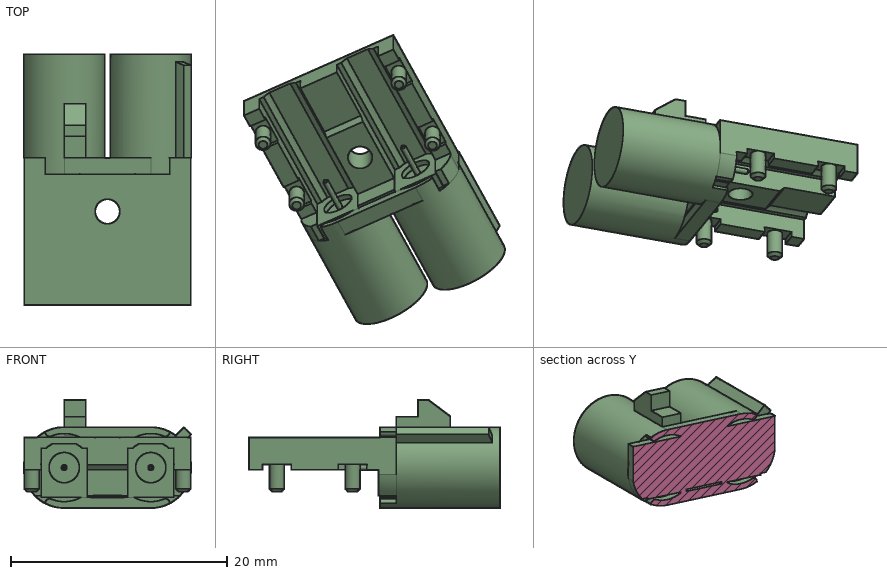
import cadquery as cq
import math


TUBE_DIA = 7.5
TUBE_RADIUS = TUBE_DIA / 2
TUBE_LENGTH = 9.6
TUBE_PITCH = 8.0
TUBE_XS = (-TUBE_PITCH / 2, TUBE_PITCH / 2)

BODY_WIDTH = 15.4
BODY_LENGTH = 13.6
BODY_TOP = 2.8
BODY_BOTTOM = -0.2
MOUNT_HOLE_DIA = 2.25
MOUNT_HOLE_Y = -4.95

BLOCK_LENGTH = 1.65
BLOCK_BOTTOM = -2.6

TAB_LENGTH = 1.5
TAB_INNER_DIA = 6.3
TAB_HALF_WIDTH = 5.75
TAB_INNER_HEIGHT = 2.75
TAB_CORNER_RADIUS = 0.4

CHANNEL_WIDTH = 4.25
CHANNEL_SHOULDER = 1.8
CHANNEL_TOP = 2.2
CHANNEL_ARCH_RADIUS = 2.45

RIB_FRONT_BOTTOM = 0.25
RIB_RELIEF_LENGTH = 5.0

INSULATOR_LENGTH = TAB_LENGTH
INSULATOR_BOTTOM = -TAB_INNER_HEIGHT
SOCKET_DIA = 2.8
SOCKET_DEPTH = 0.5
CONTACT_DIA = 0.51
CONTACT_END_Y = -4.2
CONTACT_CHAMFER = 0.15

PEG_DIA = 1.4
PEG_END_Z = -2.25
PEG_CHAMFER = 0.3
PEG_X = 7.0
PEG_YS = (-4.02, -11.02)
PEG_RELIEF_WIDTH = 2.65
PEG_RELIEF_TOP = 0.3

LATCH_LEFT = TUBE_XS[0]
LATCH_WIDTH = 2.0
LATCH_LENGTH = 5.0
LATCH_STEP_Y = 2.0
LATCH_CREST_LENGTH = 1.0
LATCH_STEP_Z = 4.7
LATCH_NOSE_Z = 4.75
LATCH_TOP = 6.25
LATCH_ROOT_Z = 3.0

KEY_ANGLE = 45.0
KEY_WIDTH = 0.95
KEY_OUTER_RADIUS = 4.8
KEY_ROOT_RADIUS = 3.0
KEY_OUTER_LENGTH = 8.55
KEY_END_SLOPE = 0.31


def block(x_min, x_max, y_min, y_max, z_min, z_max):
    """Axis-aligned box given by its limits."""
    size = (x_max - x_min, y_max - y_min, z_max - z_min)
    return cq.Workplane("XY").box(*size, centered=False).translate((x_min, y_min, z_min))


def rod_y(diameter, x, y_min, y_max):
    """Cylinder along Y at the height of the tube axes."""
    profile = cq.Workplane("XZ", origin=(x, y_max, 0)).circle(diameter / 2)
    return profile.extrude(y_max - y_min)


def make_body():
    """Plate with a deeper block at its rear end, rounded to follow the tubes."""
    half_width = BODY_WIDTH / 2
    plate = block(-half_width, half_width, -BODY_LENGTH, 0, BODY_BOTTOM, BODY_TOP)
    limits = block(-half_width, half_width, -BLOCK_LENGTH, 0, BLOCK_BOTTOM, BODY_TOP)
    stadium = cq.Workplane("XZ").slot2D(TUBE_PITCH + TUBE_DIA, TUBE_DIA).extrude(BLOCK_LENGTH)
    return plate.union(stadium.intersect(limits))


def channel_prism(x, y_min, y_max, z_min):
    """Channel cross-section, with a flattened arch as its roof, run along Y."""
    left = x - CHANNEL_WIDTH / 2
    right = x + CHANNEL_WIDTH / 2
    shaft = block(left, right, y_min, y_max, z_min, CHANNEL_SHOULDER)
    roof = block(left, right, y_min, y_max, 0, CHANNEL_TOP)
    return shaft.union(rod_y(2 * CHANNEL_ARCH_RADIUS, x, y_min, y_max).intersect(roof))


def make_rib_relief():
    """Shallow cut under the front of the middle rib, ending in a 45 degree ramp."""
    half_width = TUBE_XS[1] - CHANNEL_WIDTH / 2
    rise = RIB_FRONT_BOTTOM - BODY_BOTTOM
    ramp_top_y = RIB_RELIEF_LENGTH - BODY_LENGTH
    profile = [
        (-BODY_LENGTH, BODY_BOTTOM),
        (-BODY_LENGTH, RIB_FRONT_BOTTOM),
        (ramp_top_y, RIB_FRONT_BOTTOM),
        (ramp_top_y + rise, BODY_BOTTOM),
    ]
    return cq.Workplane("YZ").polyline(profile).close().extrude(half_width, both=True)


def make_insulator(x):
    """Plug filling the end of a channel, its round socket and the contact standing in it."""
    front_y = -INSULATOR_LENGTH
    plug = channel_prism(x, front_y, 0, INSULATOR_BOTTOM)
    socket = rod_y(SOCKET_DIA, x, front_y, front_y + SOCKET_DEPTH)
    contact = rod_y(CONTACT_DIA, x, CONTACT_END_Y, 0).faces("<Y").chamfer(CONTACT_CHAMFER)
    return plug, socket, contact


def make_shells():
    """Both tubes, with joined wall extensions forming tabs above and below the housing."""
    middle = TUBE_PITCH / 2
    shells = block(-middle, middle, -TAB_LENGTH, 0, -TUBE_RADIUS, TUBE_RADIUS)
    for x in TUBE_XS:
        shells = shells.union(rod_y(TUBE_DIA, x, -TAB_LENGTH, TUBE_LENGTH))
    shells = shells.cut(block(-middle, middle, -TAB_LENGTH, 0, -TAB_INNER_HEIGHT, TAB_INNER_HEIGHT))
    side = block(TAB_HALF_WIDTH, middle + TUBE_RADIUS, -TAB_LENGTH, 0, -TUBE_RADIUS, TUBE_RADIUS)
    shells = shells.cut(side).cut(side.mirror("YZ"))
    for x in TUBE_XS:
        shells = shells.cut(rod_y(TAB_INNER_DIA, x, -TAB_LENGTH, 0))
    inner_radius = TAB_INNER_DIA / 2
    corner_x = TAB_HALF_WIDTH
    corner_z = math.sqrt(inner_radius**2 - (corner_x - TUBE_XS[1]) ** 2)
    for x in (-corner_x, corner_x):
        for z in (-corner_z, corner_z):
            edge = cq.selectors.NearestToPointSelector((x, -TAB_LENGTH / 2, z))
            shells = shells.edges("|Y").edges(edge).fillet(TAB_CORNER_RADIUS)
    return shells


def make_peg(x, y):
    """Round peg hanging below the plate, chamfered at its tip."""
    length = PEG_RELIEF_TOP - PEG_END_Z
    peg = cq.Workplane("XY", origin=(x, y, PEG_END_Z)).circle(PEG_DIA / 2).extrude(length)
    return peg.faces("<Z").chamfer(PEG_CHAMFER)


def make_peg_reliefs(y):
    """Pair of shallow notches around the pegs, from the sides of the plate into the channels."""
    outer_x = BODY_WIDTH / 2
    half_width = PEG_RELIEF_WIDTH / 2
    notch = block(TUBE_XS[1], outer_x, y - half_width, y + half_width, BODY_BOTTOM, PEG_RELIEF_TOP)
    return notch.union(notch.mirror("YZ"))


def make_latch():
    """Stepped catch on top of the left tube, with a sloped nose."""
    profile = [
        (0, LATCH_ROOT_Z),
        (0, LATCH_STEP_Z),
        (LATCH_STEP_Y, LATCH_STEP_Z),
        (LATCH_STEP_Y, LATCH_TOP),
        (LATCH_STEP_Y + LATCH_CREST_LENGTH, LATCH_TOP),
        (LATCH_LENGTH, LATCH_NOSE_Z),
        (LATCH_LENGTH, LATCH_ROOT_Z),
    ]
    plane = cq.Workplane("YZ", origin=(LATCH_LEFT, 0, 0))
    return plane.polyline(profile).close().extrude(LATCH_WIDTH)


def make_key():
    """Rail standing radially on the right tube, with a sloped lead-in at its far end."""
    root_length = KEY_OUTER_LENGTH + KEY_END_SLOPE * (KEY_OUTER_RADIUS - KEY_ROOT_RADIUS)
    profile = [
        (KEY_ROOT_RADIUS, 0),
        (KEY_OUTER_RADIUS, 0),
        (KEY_OUTER_RADIUS, KEY_OUTER_LENGTH),
        (KEY_ROOT_RADIUS, root_length),
    ]
    rail = cq.Workplane("XY").polyline(profile).close().extrude(KEY_WIDTH / 2, both=True)
    return rail.rotate((0, 0, 0), (0, 1, 0), -KEY_ANGLE).translate((TUBE_XS[1], 0, 0))


part = make_body().cut(make_rib_relief())
for tube_x in TUBE_XS:
    part = part.cut(channel_prism(tube_x, -BODY_LENGTH, 0, BLOCK_BOTTOM))

for peg_y in PEG_YS:
    part = part.cut(make_peg_reliefs(peg_y))
    for peg_x in (-PEG_X, PEG_X):
        part = part.union(make_peg(peg_x, peg_y))

mount_hole = cq.Workplane("XY", origin=(0, MOUNT_HOLE_Y, BODY_BOTTOM)).circle(MOUNT_HOLE_DIA / 2)
part = part.cut(mount_hole.extrude(BODY_TOP - BODY_BOTTOM))

for tube_x in TUBE_XS:
    insulator, insulator_socket, contact_pin = make_insulator(tube_x)
    part = part.union(insulator).cut(insulator_socket).union(contact_pin)

result = part.union(make_shells()).union(make_latch()).union(make_key())